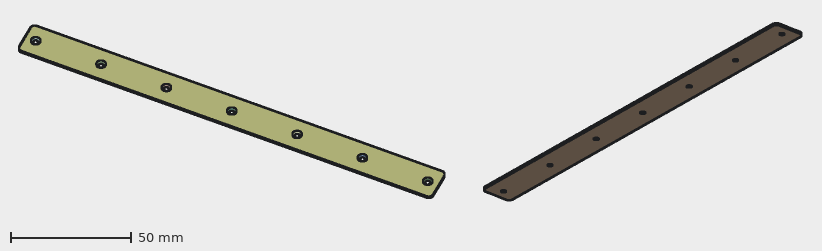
import cadquery as cq
import math

length = 190.0
width = 15.0
thickness = 1.0
corner_radius = 2.0

hole_count = 7
hole_pitch = 30.0
countersink_diameter = 4.0
countersink_angle = 90.0

top_radius = countersink_diameter / 2
bottom_radius = top_radius - thickness * math.tan(math.radians(countersink_angle / 2))


def make_strip():
    """Flat strip with rounded corners, underside at Z = 0."""
    strip = cq.Workplane("XY").box(length, width, thickness, centered=(True, True, False))
    return strip.edges("|Z").fillet(corner_radius)


def cut_countersunk_holes(strip):
    """Evenly spaced conical holes, wide end on the top face."""
    cone = cq.Solid.makeCone(bottom_radius, top_radius, thickness)
    cones = (
        cq.Workplane("XY")
        .rarray(hole_pitch, 1, hole_count, 1)
        .eachpoint(lambda place: cone.moved(place))
    )
    return strip.cut(cones)


result = cut_countersunk_holes(make_strip())